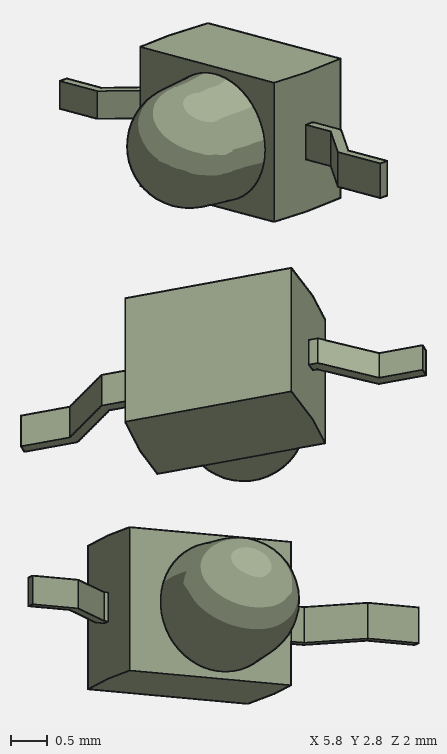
import cadquery as cq
import math


total_length = 5.8
left_reach = 2.67
right_reach = total_length - left_reach

housing_height = 2.0
housing_depth = 1.405
parting_y = 0.64
parting_width = 2.495
front_width = 2.425
back_width = 2.4

lens_x = 0.15
lens_length = 1.4
lens_base_radius = 0.9
dome_radius = 0.85

lead_thickness = 0.15
shoulder_y = 0.625
left_lead_height = 0.4
right_lead_height = 0.5
left_foot_length = 0.685
right_foot_length = 0.765
slope_run = 0.67
slope_angle = math.atan2(shoulder_y, slope_run)
bend_shift = lead_thickness * math.tan(slope_angle / 2)


def make_housing():
    """Tapered block with the lens moulded on its front face."""
    block = (
        cq.Workplane("XY")
        .polyline([
            (-front_width / 2, 0),
            (front_width / 2, 0),
            (parting_width / 2, parting_y),
            (back_width / 2, housing_depth),
            (-back_width / 2, housing_depth),
            (-parting_width / 2, parting_y),
        ])
        .close()
        .extrude(housing_height / 2, both=True)
    )
    return block.union(make_lens())


def make_lens():
    """Half profile turned about the lens axis; the cone is tangent to the dome."""
    dome_centre_y = dome_radius - lens_length
    base_distance = math.hypot(lens_base_radius, dome_centre_y)
    base_direction = math.atan2(-dome_centre_y, lens_base_radius)
    tangent_angle = base_direction - math.acos(dome_radius / base_distance)
    middle_angle = (tangent_angle - math.pi / 2) / 2

    def dome_point(angle):
        return (dome_radius * math.cos(angle), dome_centre_y + dome_radius * math.sin(angle))

    return (
        cq.Workplane("XY")
        .moveTo(0, 0)
        .lineTo(lens_base_radius, 0)
        .lineTo(*dome_point(tangent_angle))
        .threePointArc(dome_point(middle_angle), (0, -lens_length))
        .close()
        .revolve(360, (0, 0), (0, 1))
        .translate((lens_x, 0, 0))
    )


def make_lead(side, reach, foot_length, height, housing):
    """Bent strip on one side (-1 left, +1 right), trimmed to end on the housing wall."""
    foot_bend = reach - foot_length
    shoulder_bend = foot_bend - slope_run
    inner_end = back_width / 2
    shoulder_back_y = shoulder_y + lead_thickness
    outline = [
        (reach, 0),
        (foot_bend, 0),
        (shoulder_bend, shoulder_y),
        (inner_end, shoulder_y),
        (inner_end, shoulder_back_y),
        (shoulder_bend + bend_shift, shoulder_back_y),
        (foot_bend + bend_shift, lead_thickness),
        (reach, lead_thickness),
    ]
    strip = (
        cq.Workplane("XY")
        .polyline([(side * x, y) for x, y in outline])
        .close()
        .extrude(height / 2, both=True)
    )
    return strip.cut(housing)


housing = make_housing()
left_lead = make_lead(-1, left_reach, left_foot_length, left_lead_height, housing)
right_lead = make_lead(1, right_reach, right_foot_length, right_lead_height, housing)

result = cq.Compound.makeCompound([
    housing.solids().val(),
    left_lead.solids().val(),
    right_lead.solids().val(),
])